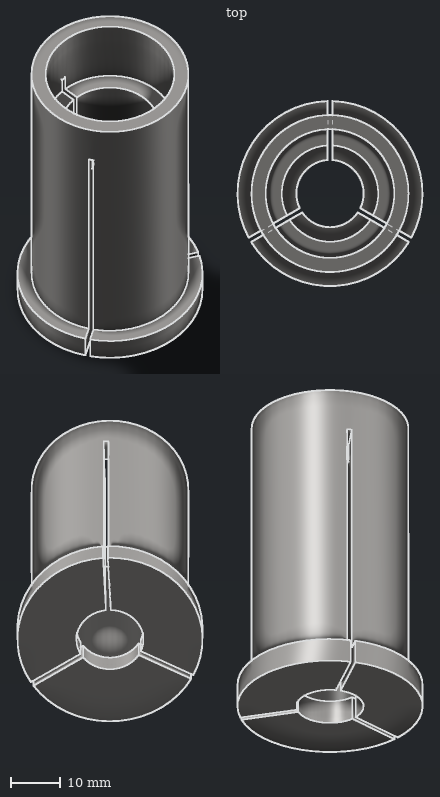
import cadquery as cq

total_height = 64.6
flange_diameter = 37.5
flange_height = 5.05
body_diameter = 31.8

upper_bore_diameter = 26.05
upper_bore_depth = 14.7
middle_bore_diameter = 19.5
lower_bore_diameter = 13.55
lower_bore_length = flange_height

slot_count = 3
slot_width = 1.0
slot_outer_height = 55.7
slot_inner_height = 53.3
first_slot_angle = 90.0


def cylinder(diameter, bottom, top):
    """Vertical cylinder on the sleeve axis."""
    return cq.Workplane("XY").workplane(offset=bottom).circle(diameter / 2).extrude(top - bottom)


def radial_slot(angle):
    """Slot from the axis past the flange, open at the bottom; its end rises outward through the wall."""
    slot_length = flange_diameter
    profile = [
        (0, 0),
        (slot_length, 0),
        (slot_length, slot_outer_height),
        (body_diameter / 2, slot_outer_height),
        (upper_bore_diameter / 2, slot_inner_height),
        (0, slot_inner_height),
    ]
    slot = cq.Workplane("XZ").polyline(profile).close().extrude(slot_width / 2, both=True)
    return slot.rotate((0, 0, 0), (0, 0, 1), angle)


result = cylinder(flange_diameter, 0, flange_height).union(cylinder(body_diameter, 0, total_height))

upper_bore_floor = total_height - upper_bore_depth
result = result.cut(cylinder(lower_bore_diameter, 0, total_height))
result = result.cut(cylinder(middle_bore_diameter, lower_bore_length, total_height))
result = result.cut(cylinder(upper_bore_diameter, upper_bore_floor, total_height))

for index in range(slot_count):
    result = result.cut(radial_slot(first_slot_angle + index * 360 / slot_count))